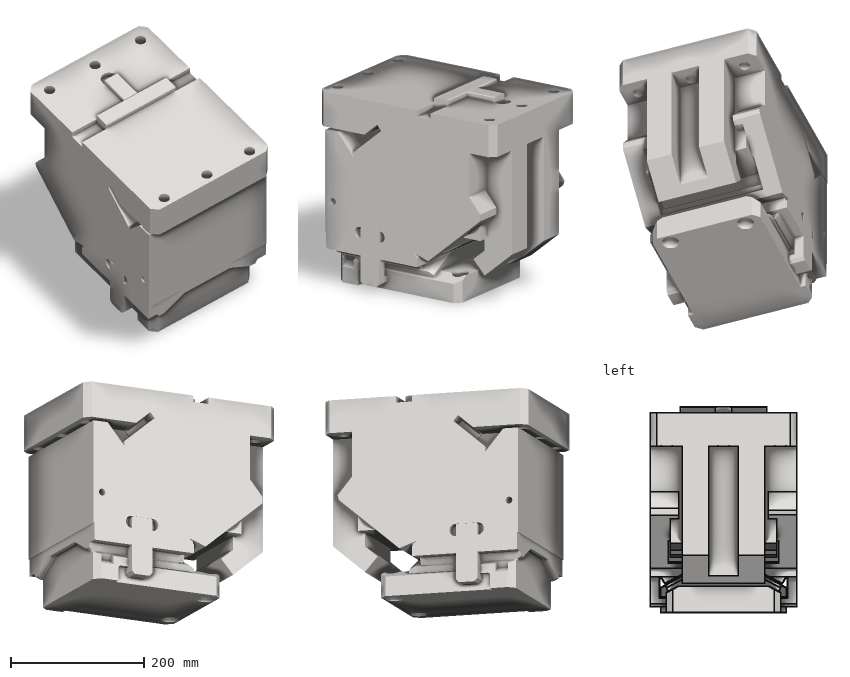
import cadquery as cq
import math


LENGTH = 320.0
WIDTH = 220.0
HEIGHT = 309.0
CORNER = 10.0
RAMP_ANGLE = 50.0
RAMP_FOOT_X = 139.5
RAMP_FOOT_Z = 68.0
RAMP_RISE = math.tan(math.radians(RAMP_ANGLE))
CROSS_RISE = 1 / RAMP_RISE
TONGUE_WIDTH = 160.0
TONGUE_LIFT = 32.5
TONGUE_END_Z = 87.0
TONGUE_UNDER_Z = 83.0
SLIDE_TOP = 240.0
ROOF_ANGLE = 28.0
ROOF_RISE = math.tan(math.radians(ROOF_ANGLE))

PLATE_TOP = 300.0
PLATE_LEFT_UNDER = 250.0
PLATE_RIGHT_UNDER = 245.0
BLOCK_X = 45.0
EAR_TOP_Z = 181.0
EAR_X = 22.5
EAR_STEP_X = 24.5
FAR_EAR_X = 25.0
EAR_GAP = 134.0
EAR_STEP_Z = 141.0
CHEEK_GAP = 165.0
CHEEK_TIP_X = 119.7
CHEEK_TIP_Z = 67.0
CHEEK_HEEL_X = 146.2
CHEEK_NOSE_X = 255.5
CHEEK_NOSE_Z = 214.0
CORE_UNDER_Z = 104.0
CORE_LOWEST_Z = 94.0
BRIDGE_TOP_Z = 74.2
POCKET_TOP_Z = 108.0
STOP_X = 238.0
STOP_LENGTH = 11.2
STOP_WIDTH = 32.0
SLOT_END_X = 205.0
SLOT_END_Z = CHEEK_NOSE_Z + (CHEEK_NOSE_X - SLOT_END_X) * CROSS_RISE
SLOT_WIDTH = 11.2
CORE_SLOT_WIDTH = 4.0
POST_WIDTH = 124.0
POST_BACK_X = 50.0
POST_FRONT_Z = 86.0
POST_LOWEST_Z = 44.0
HOOK_TIP_X = 70.0
HOOK_TIP_Z = 66.5
HOOK_THROAT_Z = 83.5
POST_GROOVE_WIDTH = 44.0
POST_GROOVE_DEPTH = 36.5
PLATE_HOLE = 17.0
LEFT_HOLE_X = 25.0
LEFT_HOLE_Y = 85.0
RIGHT_HOLE_X = 305.0
RIGHT_HOLE_Y = 80.0
KEY_WIDTH = 25.0
KEY_DEPTH = 10.0
KEY_CHAMFER = 1.3
CROSS_KEY_X = 115.0
CROSS_KEY_LENGTH = 130.0
LONG_KEY_X = 65.0
LONG_KEYWAY_X = 47.5

SLIDE_FRONT_X = RAMP_FOOT_X
SLIDE_BACK_X = 307.2
SLIDE_UNDER = 53.8
RELIEF_HEIGHT = 80.0
RELIEF_DEPTH = 1.5
SKIRT_FRONT_X = 147.0
SKIRT_Y = 94.0
SKIRT_TOE_Y = 88.0
SKIRT_TOE_Z = 43.5
SLIDE_RIDGE_Z = 67.5
ROOF_CLEARANCE = 2.2
PAD_X = 153.5
PAD_Y = 84.8
SKIRT_BEVEL_LENGTH = 7.5
SKIRT_BEVEL_HEIGHT = 4.0
NIB_WIDTH = 213.8
SIDE_HOLE = 10.5
SIDE_HOLE_X = 292.8
SIDE_HOLE_Z = 129.5
SIDE_HOLE_DEPTH = 25.5
CLIP_X = 209.0
CLIP_WIDTH = 34.0
CLIP_THICKNESS = 14.5
CLIP_BOTTOM = 9.0
CLIP_CHAMFER = 4.8
CLIP_TOP_ROUND = 2.5
CLIP_GAP = 0.15
FOOT_HEIGHT = 13.0
CLIP_POCKET_LENGTH = 54.0
CLIP_POCKET_HEIGHT = 18.5
CLIP_POCKET_TOP = 98.5

BASE_X = 80.0
BASE_END_X = 295.7
BASE_WIDTH = 172.0
BASE_TOP = 40.0
BASE_SIDE_Z = 30.0
RAIL_X = 126.7
RAIL_RIDGE_Z = 67.0
RAIL_TOE_Y = 87.0
RAIL_TOE_Z = 41.5
RAIL_RIDGE_Y = RAIL_TOE_Y - (RAIL_RIDGE_Z - RAIL_TOE_Z) / ROOF_RISE
RAIL_EDGE_Y = 83.5
RAIL_EDGE_Z = 32.5
LEAD_IN_LENGTH = 9.0
LEAD_IN_HEIGHT = 5.0
LUG_WIDTH = 188.8
LUG_X = 217.5
LUG_TOP_Z = 37.5
HOOK_RECESS_END_X = 258.0
HOOK_RECESS_HEIGHT = 24.0
HOOK_RECESS_ROUND = 4.8
LUG_NOTCH_X = 266.5
LUG_NOTCH_LENGTH = 19.5
LUG_NOTCH_Z = 25.0
BASE_HOLE = 26.0
BASE_HOLE_X = 95.0
BASE_HOLE_Y = 60.0


def ramp_x(z, lift=0.0):
    """X at height z on the ramp, or on its parallel raised square to it by lift."""
    return RAMP_FOOT_X + (z - RAMP_FOOT_Z) / RAMP_RISE - lift / math.sin(math.radians(RAMP_ANGLE))


def ramp_z(x):
    """Height of the ramp at x."""
    return RAMP_FOOT_Z + (x - RAMP_FOOT_X) * RAMP_RISE


def across(outline, width):
    """Extrude an XZ outline to the given width, centred on Y = 0."""
    return cq.Workplane("XZ").polyline(outline).close().extrude(width / 2, both=True)


def along(outline, x_start, x_end):
    """Extrude a YZ outline from x_start to x_end."""
    return cq.Workplane("YZ", origin=(x_start, 0, 0)).polyline(outline).close().extrude(x_end - x_start)


def block(x_range, y_range, z_range):
    """Make a box from its limits on each axis."""
    sizes = [high - low for low, high in (x_range, y_range, z_range)]
    return cq.Workplane("XY").box(*sizes, centered=False).translate((x_range[0], y_range[0], z_range[0]))


def both_sides(solid):
    """Return a feature of the -Y side together with its mirror image."""
    return solid.union(solid.mirror("XZ"))


def mirrored(half_outline):
    """Complete a YZ outline from its +Y half, listed from the bottom up."""
    return half_outline + [(-y, z) for y, z in reversed(half_outline)]


def tongue(width):
    """Raised guide along the ramp."""
    outline = [
        (ramp_x(TONGUE_UNDER_Z), TONGUE_UNDER_Z),
        (ramp_x(SLIDE_TOP), SLIDE_TOP),
        (ramp_x(SLIDE_TOP, TONGUE_LIFT), SLIDE_TOP),
        (ramp_x(TONGUE_END_Z, TONGUE_LIFT), TONGUE_END_Z),
        (ramp_x(TONGUE_END_Z, TONGUE_LIFT) + (TONGUE_END_Z - TONGUE_UNDER_Z) / CROSS_RISE, TONGUE_UNDER_Z),
    ]
    return across(outline, width)


def across_slot(distance):
    """Point on the end wall of the slanted slot, at a distance from its lower corner."""
    angle = math.radians(RAMP_ANGLE)
    return SLOT_END_X + distance * math.cos(angle), SLOT_END_Z + distance * math.sin(angle)


def holder_blank():
    """Top plate and slanted block, with the ears and the slanted slot in its outline."""
    slot_top_x, slot_top_z = across_slot(SLOT_WIDTH)
    slot_mouth_x = slot_top_x + (slot_top_z - PLATE_RIGHT_UNDER) / CROSS_RISE
    outline = [
        (0, PLATE_TOP),
        (LENGTH, PLATE_TOP),
        (LENGTH, PLATE_RIGHT_UNDER),
        (slot_mouth_x, PLATE_RIGHT_UNDER),
        (slot_top_x, slot_top_z),
        (SLOT_END_X, SLOT_END_Z),
        (CHEEK_NOSE_X, CHEEK_NOSE_Z),
        (CHEEK_NOSE_X, ramp_z(CHEEK_NOSE_X)),
        (CHEEK_HEEL_X, ramp_z(CHEEK_HEEL_X)),
        (CHEEK_TIP_X, CHEEK_TIP_Z),
        (EAR_STEP_X, CHEEK_TIP_Z + (CHEEK_TIP_X - EAR_STEP_X) * CROSS_RISE),
        (EAR_X, EAR_TOP_Z - (BLOCK_X - EAR_X) * RAMP_RISE),
        (BLOCK_X, EAR_TOP_Z),
        (BLOCK_X, PLATE_LEFT_UNDER),
        (0, PLATE_LEFT_UNDER),
    ]
    blank = across(outline, WIDTH)
    left_corners = cq.selectors.BoxSelector((-3.2, -WIDTH, PLATE_RIGHT_UNDER), (3.2, WIDTH, PLATE_TOP))
    right_corners = cq.selectors.BoxSelector((LENGTH - 3.2, -WIDTH, 0), (LENGTH + 3.2, WIDTH, PLATE_TOP))
    return blank.edges("|Z").edges(left_corners + right_corners).chamfer(CORNER)


def core_slot_fill():
    """Strip between the cheeks that narrows the slanted slot from below."""
    top_x, top_z = across_slot(SLOT_WIDTH - CORE_SLOT_WIDTH)
    mouth_x = top_x + (top_z - SLIDE_TOP) / CROSS_RISE
    outline = [
        (SLOT_END_X, SLOT_END_Z),
        (top_x, top_z),
        (mouth_x, SLIDE_TOP),
        (CHEEK_NOSE_X, SLIDE_TOP),
        (CHEEK_NOSE_X, CHEEK_NOSE_Z),
    ]
    return across(outline, CHEEK_GAP)


def core_pocket():
    """Opening between the cheeks, leaving a bridge at the cheek tips."""
    outline = [
        (BLOCK_X, POCKET_TOP_Z),
        (ramp_x(POCKET_TOP_Z), POCKET_TOP_Z),
        (ramp_x(BRIDGE_TOP_Z), BRIDGE_TOP_Z),
        (BLOCK_X, BRIDGE_TOP_Z),
    ]
    return across(outline, CHEEK_GAP)


def core():
    """Middle of the block, set in from the cheeks, with a flat and a slanted underside."""
    lowest_x = ramp_x(CORE_LOWEST_Z, TONGUE_LIFT)
    outline = [
        (BLOCK_X, CORE_UNDER_Z),
        (lowest_x - (CORE_UNDER_Z - CORE_LOWEST_Z) / CROSS_RISE, CORE_UNDER_Z),
        (lowest_x, CORE_LOWEST_Z),
        (ramp_x(EAR_STEP_Z, TONGUE_LIFT), EAR_STEP_Z),
        (BLOCK_X, EAR_STEP_Z),
    ]
    return across(outline, TONGUE_WIDTH)


def far_ear_cut():
    """Space left by shortening the +Y ear."""
    return block((0, FAR_EAR_X), (EAR_GAP / 2, WIDTH / 2), (CORE_UNDER_Z, EAR_TOP_Z))


def stop():
    """Stop block between the plate and the top of the slide."""
    y_range = (-STOP_WIDTH / 2, STOP_WIDTH / 2)
    return block((STOP_X, STOP_X + STOP_LENGTH), y_range, (SLIDE_TOP, PLATE_RIGHT_UNDER))


def ear_clearance():
    """Space between the ears, wider near their lower edge."""
    upper = block((0, BLOCK_X), (-EAR_GAP / 2, EAR_GAP / 2), (CORE_UNDER_Z, EAR_TOP_Z))
    lower = block((0, BLOCK_X), (-TONGUE_WIDTH / 2, TONGUE_WIDTH / 2), (CORE_UNDER_Z, EAR_STEP_Z))
    return upper.union(lower)


def post():
    """Central post under the left end of the plate, ending in a hook and grooved in front."""
    outline = [
        (0, PLATE_LEFT_UNDER),
        (0, POST_FRONT_Z),
        (POST_BACK_X, POST_LOWEST_Z),
        (HOOK_TIP_X, HOOK_TIP_Z),
        (POST_BACK_X, HOOK_THROAT_Z),
        (POST_BACK_X, PLATE_LEFT_UNDER),
    ]
    groove = block(
        (0, POST_GROOVE_DEPTH), (-POST_GROOVE_WIDTH / 2, POST_GROOVE_WIDTH / 2), (0, PLATE_LEFT_UNDER)
    )
    return across(outline, POST_WIDTH).cut(groove)


def plate_holes():
    """Six mounting holes through the plate."""
    places = [(LEFT_HOLE_X, side * LEFT_HOLE_Y) for side in (-1, 0, 1)]
    places += [(RIGHT_HOLE_X, side * RIGHT_HOLE_Y) for side in (-1, 0, 1)]
    depth = PLATE_TOP - PLATE_RIGHT_UNDER
    underside = cq.Workplane("XY", origin=(0, 0, PLATE_RIGHT_UNDER))
    return underside.pushPoints(places).circle(PLATE_HOLE / 2).extrude(depth)


def keyways():
    """Cross keyway over the full width and the round-ended keyway that meets it."""
    floor = PLATE_TOP - KEY_DEPTH
    half = KEY_WIDTH / 2
    cross = block((CROSS_KEY_X, CROSS_KEY_X + KEY_WIDTH), (-WIDTH / 2, WIDTH / 2), (floor, PLATE_TOP))
    straight = block((LONG_KEYWAY_X + half, CROSS_KEY_X), (-half, half), (floor, PLATE_TOP))
    end = cq.Workplane("XY", origin=(LONG_KEYWAY_X + half, 0, floor)).circle(half).extrude(KEY_DEPTH)
    return cross.union(straight).union(end)


def keys():
    """Two keys standing in the keyways, chamfered along their upper edges."""
    floor = PLATE_TOP - KEY_DEPTH
    half = KEY_WIDTH / 2
    cross = block(
        (CROSS_KEY_X, CROSS_KEY_X + KEY_WIDTH), (-CROSS_KEY_LENGTH / 2, CROSS_KEY_LENGTH / 2), (floor, HEIGHT)
    )
    lengthwise = block((LONG_KEY_X, CROSS_KEY_X), (-half, half), (floor, HEIGHT))
    cross = cross.faces(">Z").edges("|Y").chamfer(KEY_CHAMFER)
    lengthwise = lengthwise.faces(">Z").edges("|X").chamfer(KEY_CHAMFER)
    return cross.union(lengthwise)


def make_holder():
    body = holder_blank().union(core_slot_fill())
    body = body.cut(core_pocket()).cut(tongue(CHEEK_GAP))
    body = body.cut(ear_clearance()).cut(far_ear_cut())
    body = body.union(core()).union(post()).union(stop())
    return body.cut(plate_holes()).cut(keyways()).union(keys())


def slide_blank():
    """Wedge below the ramp with its tongue."""
    outline = [
        (SLIDE_FRONT_X, SLIDE_UNDER),
        (SLIDE_BACK_X - RELIEF_DEPTH, SLIDE_UNDER),
        (SLIDE_BACK_X - RELIEF_DEPTH, RELIEF_HEIGHT),
        (SLIDE_BACK_X, RELIEF_HEIGHT),
        (SLIDE_BACK_X, SLIDE_TOP),
        (ramp_x(SLIDE_TOP), SLIDE_TOP),
        (SLIDE_FRONT_X, ramp_z(SLIDE_FRONT_X)),
    ]
    return across(outline, WIDTH).union(tongue(TONGUE_WIDTH))


def skirt():
    """Lower part of the slide, with slanted sides."""
    outline = mirrored([(SKIRT_TOE_Y, SKIRT_TOE_Z), (SKIRT_Y, SLIDE_UNDER)])
    end_x = SLIDE_BACK_X - RELIEF_DEPTH
    bevel = [
        (end_x, SKIRT_TOE_Z),
        (end_x - SKIRT_BEVEL_LENGTH, SKIRT_TOE_Z),
        (end_x, SKIRT_TOE_Z + SKIRT_BEVEL_HEIGHT),
    ]
    return along(outline, SKIRT_FRONT_X, end_x).cut(across(bevel, WIDTH))


def wear_pads():
    """Thin sloping pads in the channel that rest on the rail."""
    pad_z = RAIL_TOE_Z + (RAIL_TOE_Y - PAD_Y) * ROOF_RISE
    outline = [
        (-PAD_Y, pad_z),
        (-PAD_Y, pad_z + ROOF_CLEARANCE),
        (-RAIL_RIDGE_Y, RAIL_RIDGE_Z + ROOF_CLEARANCE),
        (-RAIL_RIDGE_Y, RAIL_RIDGE_Z),
    ]
    return both_sides(along(outline, PAD_X, SLIDE_BACK_X - RELIEF_DEPTH - SKIRT_BEVEL_LENGTH))


def front_nib():
    """Small lip at the foot of the ramp, under the bridge of the holder."""
    heel_z = ramp_z(CHEEK_HEEL_X)
    bridge_rise = (heel_z - CHEEK_TIP_Z) / (CHEEK_HEEL_X - CHEEK_TIP_X)
    nib_z = CHEEK_TIP_Z + (SLIDE_FRONT_X - CHEEK_TIP_X) * bridge_rise
    outline = [(SLIDE_FRONT_X, ramp_z(SLIDE_FRONT_X)), (SLIDE_FRONT_X, nib_z), (CHEEK_HEEL_X, heel_z)]
    return across(outline, NIB_WIDTH)


def roof_cut():
    """Roof-shaped channel under the slide."""
    ridge_y = SKIRT_TOE_Y - (SLIDE_RIDGE_Z - SKIRT_TOE_Z) / ROOF_RISE
    outline = mirrored([(SKIRT_TOE_Y, 0), (SKIRT_TOE_Y, SKIRT_TOE_Z), (ridge_y, SLIDE_RIDGE_Z)])
    return along(outline, SLIDE_FRONT_X, SLIDE_BACK_X)


def clip_pocket():
    """Round-ended pocket around the head of a clip."""
    center = (CLIP_X + CLIP_WIDTH / 2, CLIP_POCKET_TOP - CLIP_POCKET_HEIGHT / 2)
    sketch = cq.Workplane("XZ", origin=(0, -WIDTH / 2, 0)).center(*center)
    return sketch.slot2D(CLIP_POCKET_LENGTH, CLIP_POCKET_HEIGHT).extrude(-CLIP_THICKNESS)


def clip():
    """Hook that hangs down the side and reaches under the base lug."""
    x_range = (CLIP_X, CLIP_X + CLIP_WIDTH)
    outer = -WIDTH / 2
    top = CLIP_POCKET_TOP - CLIP_GAP
    hanger = block(x_range, (outer, outer + CLIP_THICKNESS), (CLIP_BOTTOM, top))
    foot = block(x_range, (outer, -BASE_WIDTH / 2), (CLIP_BOTTOM, CLIP_BOTTOM + FOOT_HEIGHT))
    hook = hanger.faces(">Z").edges("|Y").fillet(CLIP_TOP_ROUND).union(foot)
    return hook.faces("<Z").edges("|Y").chamfer(CLIP_CHAMFER)


def side_hole():
    """Blind drilled hole with a pointed bottom."""
    radius = SIDE_HOLE / 2
    outer = -WIDTH / 2
    profile = [
        (SIDE_HOLE_X, outer),
        (SIDE_HOLE_X + radius, outer),
        (SIDE_HOLE_X + radius, outer + SIDE_HOLE_DEPTH),
        (SIDE_HOLE_X, outer + SIDE_HOLE_DEPTH + radius),
    ]
    sketch = cq.Workplane("XY", origin=(0, 0, SIDE_HOLE_Z)).polyline(profile).close()
    return sketch.revolve(360, (SIDE_HOLE_X, 0, 0), (SIDE_HOLE_X, 1, 0))


def make_slide():
    body = slide_blank().union(front_nib()).union(skirt()).cut(roof_cut()).union(wear_pads())
    body = body.cut(both_sides(clip_pocket())).cut(both_sides(side_hole()))
    return body.union(both_sides(clip()))


def base_plate():
    """Low plate with sloping shoulders."""
    shoulder_y = BASE_WIDTH / 2 - (BASE_TOP - BASE_SIDE_Z) / ROOF_RISE
    outline = mirrored([(BASE_WIDTH / 2, 0), (BASE_WIDTH / 2, BASE_SIDE_Z), (shoulder_y, BASE_TOP)])
    return along(outline, BASE_X, BASE_END_X)


def rail():
    """Roof-shaped rail on the plate, with a lead-in slope at its left end."""
    edge_rise = (RAIL_TOE_Z - RAIL_EDGE_Z) / (RAIL_TOE_Y - RAIL_EDGE_Y)

    def section(x, drop):
        toe_inset = drop / (ROOF_RISE + edge_rise)
        outline = mirrored([
            (RAIL_EDGE_Y, RAIL_EDGE_Z),
            (RAIL_TOE_Y - toe_inset, RAIL_TOE_Z - toe_inset * edge_rise),
            (RAIL_RIDGE_Y, RAIL_RIDGE_Z - drop),
        ])
        return cq.Workplane("YZ", origin=(x, 0, 0)).polyline(outline).close()

    crest_x = RAIL_X + LEAD_IN_LENGTH
    end_wires = [section(RAIL_X, LEAD_IN_HEIGHT).val(), section(crest_x, 0).val()]
    lead_in = cq.Workplane(cq.Solid.makeLoft(end_wires, True))
    return lead_in.union(section(crest_x, 0).extrude(BASE_END_X - crest_x))


def lugs():
    """Wider stretch of the base, recessed below for the clip feet and notched above."""
    inner = -RAIL_EDGE_Y
    outer = -LUG_WIDTH / 2
    top_inner = LUG_TOP_Z + (inner - outer) * ROOF_RISE
    outline = [(inner, 0), (outer, 0), (outer, LUG_TOP_Z), (inner, top_inner)]
    lug = along(outline, LUG_X, BASE_END_X)
    recess = block((LUG_X, HOOK_RECESS_END_X), (outer, inner), (0, HOOK_RECESS_HEIGHT))
    recess = recess.faces(">X").edges(">Z").fillet(HOOK_RECESS_ROUND)
    notch_outline = [(inner, RAIL_EDGE_Z), (outer, LUG_NOTCH_Z), (outer, BASE_TOP), (inner, top_inner)]
    notch = along(notch_outline, LUG_NOTCH_X, LUG_NOTCH_X + LUG_NOTCH_LENGTH)
    return both_sides(lug.cut(recess).cut(notch))


def corner_cuts(x_corner, direction, width):
    """Upright triangular prisms that chamfer the two corners at one end."""
    outer = -width / 2
    outline = [(x_corner, outer), (x_corner + direction * CORNER, outer), (x_corner, outer + CORNER)]
    return both_sides(cq.Workplane("XY").polyline(outline).close().extrude(HEIGHT))


def base_holes():
    """Two mounting holes near the left end."""
    places = [(BASE_HOLE_X, side * BASE_HOLE_Y) for side in (-1, 1)]
    return cq.Workplane("XY").pushPoints(places).circle(BASE_HOLE / 2).extrude(BASE_TOP)


def make_base():
    body = base_plate().union(rail()).union(lugs())
    body = body.cut(corner_cuts(BASE_X, 1, BASE_WIDTH)).cut(corner_cuts(BASE_END_X, -1, LUG_WIDTH))
    return body.cut(base_holes())


holder = make_holder()
slide = make_slide()
base = make_base()
result = cq.Compound.makeCompound([holder.solids().val(), slide.solids().val(), base.solids().val()])